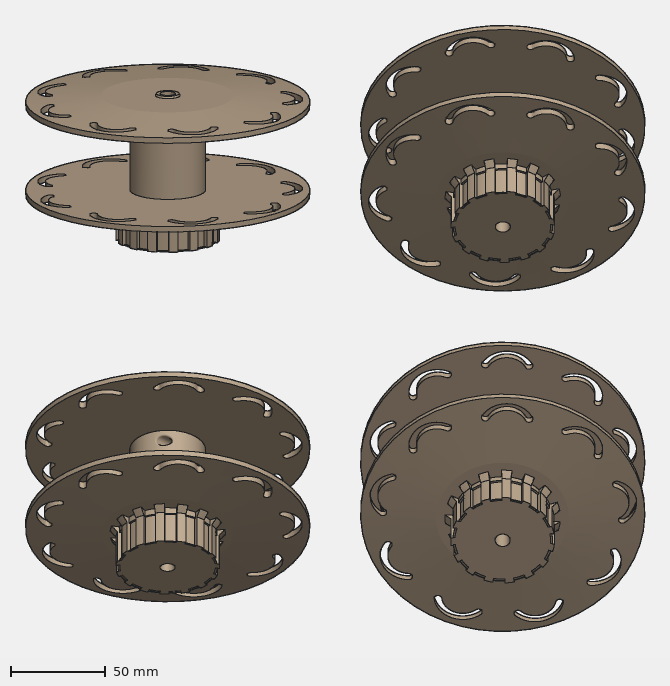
import cadquery as cq
import math

FLANGE_DIAMETER = 150.0
FLANGE_FLAT_DIAMETER = 70.0
RIM_THICKNESS = 3.0
CONE_HEIGHT = 3.0
BORE_DIAMETER = 8.0

BARREL_DIAMETER = 40.0
BARREL_LENGTH = 45.5

BOSS_BASE_DIAMETER = 13.0
BOSS_TOP_DIAMETER = 12.0
BOSS_HEIGHT = 1.0

KNOB_DIAMETER = 54.8
KNOB_LENGTH = 21.0
FLARE_START = 17.5
FLARE_DIAMETER = 60.9
RIB_COUNT = 15
RIB_WIDTH = 5.0
CORE_DIAMETER = 52.5
GROOVE_FLOOR_DIAMETER = 50.4
BOTTOM_LIP_HEIGHT = 0.5

SLOT_COUNT = 9
SLOT_WIDTH = 4.0
SLOT_ARC_RADIUS = 13.0
SLOT_ARC_CENTER = 56.1
SLOT_HALF_ANGLE = 62.0
FIRST_SLOT_ANGLE = 90.0

LINE_HOLE_DIAMETER = 5.5
LINE_HOLE_ROUNDING = 0.9
LINE_HOLE_OFFSET = 11.8
LINE_HOLE_DROP = 6.2

FLANGE_THICKNESS = RIM_THICKNESS + CONE_HEIGHT
BARREL_BOTTOM = KNOB_LENGTH + FLANGE_THICKNESS
BARREL_TOP = BARREL_BOTTOM + BARREL_LENGTH


def bored(body):
    """Cut the axle bore through the full height of a body."""
    box = body.val().BoundingBox()
    bore = cq.Workplane("XY", origin=(0, 0, box.zmin)).circle(BORE_DIAMETER / 2).extrude(box.zlen)
    return body.cut(bore)


def flange_disc():
    """Disc with its flat side on Z = 0 and a shallow cone rising to a central flat."""
    return (
        cq.Workplane("XZ")
        .lineTo(FLANGE_DIAMETER / 2, 0)
        .lineTo(FLANGE_DIAMETER / 2, RIM_THICKNESS)
        .lineTo(FLANGE_FLAT_DIAMETER / 2, FLANGE_THICKNESS)
        .lineTo(0, FLANGE_THICKNESS)
        .close()
        .revolve(360, (0, 0, 0), (0, 1, 0))
    )


def slot_cutter():
    """Round-ended arc slot that bows outward, centred on the +X direction."""

    def arc_point(radius, angle):
        turn = math.radians(angle)
        return (SLOT_ARC_CENTER + radius * math.cos(turn), radius * math.sin(turn))

    inner = SLOT_ARC_RADIUS - SLOT_WIDTH / 2
    outer = SLOT_ARC_RADIUS + SLOT_WIDTH / 2
    tip_angle = math.degrees(2 * math.asin(SLOT_WIDTH / 2 / (2 * SLOT_ARC_RADIUS)))
    end = SLOT_HALF_ANGLE
    return (
        cq.Workplane("XY")
        .moveTo(*arc_point(inner, -end))
        .threePointArc(arc_point(inner, 0), arc_point(inner, end))
        .threePointArc(arc_point(SLOT_ARC_RADIUS, end + tip_angle), arc_point(outer, end))
        .threePointArc(arc_point(outer, 0), arc_point(outer, -end))
        .threePointArc(arc_point(SLOT_ARC_RADIUS, -end - tip_angle), arc_point(inner, -end))
        .close()
        .extrude(FLANGE_THICKNESS)
    )


def slotted_flange():
    """Flange disc with its ring of arc slots."""
    flange = flange_disc()
    cutter = slot_cutter()
    for index in range(SLOT_COUNT):
        angle = FIRST_SLOT_ANGLE + index * 360 / SLOT_COUNT
        flange = flange.cut(cutter.rotate((0, 0, 0), (0, 0, 1), angle))
    return flange


def groove_cutter(floor_diameter, bottom, top):
    """Sector between two ribs, outside the groove floor, centred on the +X direction."""
    floor_radius = floor_diameter / 2
    reach = FLARE_DIAMETER
    half_rib_angle = math.asin(RIB_WIDTH / KNOB_DIAMETER)
    half_angle = math.pi / RIB_COUNT - half_rib_angle

    def corner(radius, side):
        return (radius * math.cos(half_angle), side * radius * math.sin(half_angle))

    return (
        cq.Workplane("XY", origin=(0, 0, bottom))
        .moveTo(*corner(floor_radius, -1))
        .threePointArc((floor_radius, 0), corner(floor_radius, 1))
        .lineTo(*corner(reach, 1))
        .lineTo(*corner(reach, -1))
        .close()
        .extrude(top - bottom)
    )


def ribbed_knob():
    """Grip knob with ribs that flare out below the flange and grooves that deepen mid-height."""
    knob = (
        cq.Workplane("XZ")
        .lineTo(KNOB_DIAMETER / 2, 0)
        .lineTo(KNOB_DIAMETER / 2, FLARE_START)
        .lineTo(FLARE_DIAMETER / 2, KNOB_LENGTH)
        .lineTo(0, KNOB_LENGTH)
        .close()
        .revolve(360, (0, 0, 0), (0, 1, 0))
    )
    core_gap = groove_cutter(CORE_DIAMETER, 0, KNOB_LENGTH)
    deep_groove = groove_cutter(GROOVE_FLOOR_DIAMETER, BOTTOM_LIP_HEIGHT, FLARE_START)
    cutter = core_gap.union(deep_groove)
    for index in range(RIB_COUNT):
        knob = knob.cut(cutter.rotate((0, 0, 0), (0, 0, 1), index * 360 / RIB_COUNT))
    return knob


def make_lower_flange():
    """Lower flange, cone side down, in one piece with the knob."""
    flange = slotted_flange().mirror("XY").translate((0, 0, BARREL_BOTTOM))
    return bored(flange.union(ribbed_knob()))


def make_barrel():
    """Winding barrel with an off-centre line hole along X, rounded at both mouths."""
    barrel = (
        cq.Workplane("XY", origin=(0, 0, BARREL_BOTTOM))
        .circle(BARREL_DIAMETER / 2)
        .extrude(BARREL_LENGTH)
    )
    hole_height = BARREL_TOP - LINE_HOLE_DROP
    line_hole = (
        cq.Workplane("YZ", origin=(-BARREL_DIAMETER / 2, LINE_HOLE_OFFSET, hole_height))
        .circle(LINE_HOLE_DIAMETER / 2)
        .extrude(BARREL_DIAMETER)
    )
    barrel = barrel.cut(line_hole)
    mouth_region = cq.selectors.BoxSelector(
        (-BARREL_DIAMETER, 0, hole_height - LINE_HOLE_DIAMETER),
        (BARREL_DIAMETER, BARREL_DIAMETER, hole_height + LINE_HOLE_DIAMETER),
        boundingbox=True,
    )
    barrel = barrel.edges(mouth_region).edges("not #X").fillet(LINE_HOLE_ROUNDING)
    return bored(barrel)


def make_upper_flange():
    """Upper flange, cone side up, with a tapered boss around the bore."""
    boss = (
        cq.Workplane("XY", origin=(0, 0, FLANGE_THICKNESS))
        .circle(BOSS_BASE_DIAMETER / 2)
        .workplane(offset=BOSS_HEIGHT)
        .circle(BOSS_TOP_DIAMETER / 2)
        .loft()
    )
    return bored(slotted_flange().union(boss)).translate((0, 0, BARREL_TOP))


lower_flange = make_lower_flange()
barrel = make_barrel()
upper_flange = make_upper_flange()

result = cq.Compound.makeCompound([lower_flange.val(), barrel.val(), upper_flange.val()])